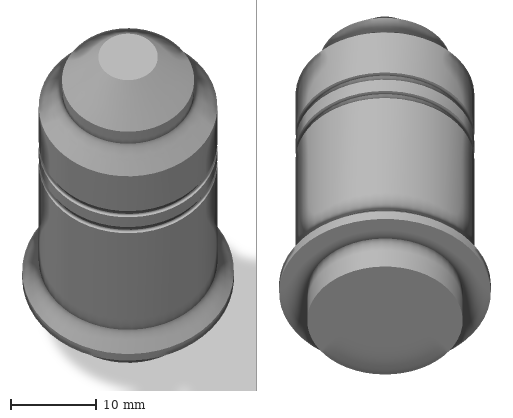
import cadquery as cq

total_height = 46.3
spigot_height = 4.6
flange_rim_top = 5.85
flange_top = 7.95
lower_groove_bottom = 26.2
upper_groove_bottom = 29.2
groove_width = 1.15
body_top = 36.95
neck_bottom = 39.7
neck_top = 41.95

spigot_diameter = 18.3
flange_diameter = 24.9
body_diameter = 21.0
groove_diameter = 20.0
neck_diameter = 15.55
tip_diameter = 7.0
tip_disc_diameter = 5.45

profile = (
    cq.Workplane("XZ")
    .moveTo(0, 0)
    .lineTo(spigot_diameter / 2, 0)
    .lineTo(spigot_diameter / 2, spigot_height)
    .lineTo(flange_diameter / 2, spigot_height)
    .lineTo(flange_diameter / 2, flange_rim_top)
    .lineTo(body_diameter / 2, flange_top)
    .lineTo(body_diameter / 2, body_top)
    .lineTo(neck_diameter / 2, neck_bottom)
    .lineTo(neck_diameter / 2, neck_top)
    .lineTo(tip_diameter / 2, total_height)
    .lineTo(tip_disc_diameter / 2, total_height)
    .lineTo(0, total_height)
    .close()
)
body = profile.revolve(360, (0, 0, 0), (0, 1, 0), clean=False)

def ring_groove(bottom):
    """Ring of material removed from the body to form one groove."""
    return (
        cq.Workplane("XY")
        .workplane(offset=bottom)
        .circle(flange_diameter / 2)
        .circle(groove_diameter / 2)
        .extrude(groove_width)
    )

result = body
for groove_bottom in (lower_groove_bottom, upper_groove_bottom):
    result = result.cut(ring_groove(groove_bottom), clean=False)